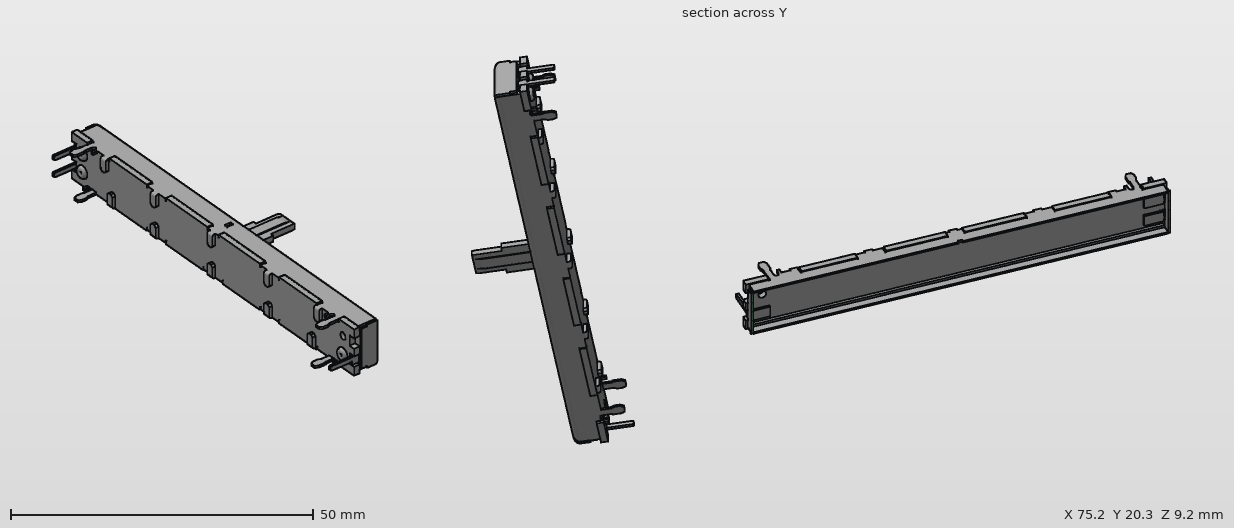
import cadquery as cq

SIDES = (1, -1)
EPS = 0.01

board_length = 75.2
board_height = 9.2
board_thickness = 1.2
board_end = board_length / 2
board_top = board_height / 2
notch_floor_x = 36.4
notch_width = 2.05

sheet = 0.45
case_top_y = 5.7
case_bend = 1.15
side_wall_z = 4.4
side_wall_end_x = 37.0
end_wall_x = 37.45
end_wall_z = 4.3
end_wall_bottom_y = 1.8
end_wall_step_y = 2.9
inner_z = side_wall_z - sheet
ledge_width = 0.45

upper_board_tabs = ((1.5, 12.5), (17.6, 27.6))
lower_board_tabs = ((2.6, 12.5), (17.6, 27.6))
end_tab_x = 33.5
tab_clearance = 0.2
tab_fit = 0.05

tongue_width = 1.4
tongue_thickness = 0.65
tongue_tip_z = 1.7
tongue_tip_chamfer = 0.4
tongue_bend = 0.45
upper_tongues_x = (-28.4, -15.1, 0, 15.1, 28.4)
lower_tongues_x = (-26.65, -15.1, 0, 15.1, 26.65)

leg_centre_x = -32.15
prong_outer_x = -(end_tab_x - tab_clearance)
prong_inner_x = -32.15
prong_tip_y = -3.85
prong_tip_inset = 0.3
bulge_outer_x = -33.55
bulge_inner_x = -32.0
bulge_low_y = -3.2
bulge_middle_y = -2.3
bulge_high_y = -1.7
stub_outer_x = -31.25
stub_inner_x = -30.75
stub_tip_y = -0.9
slit_top_y = 0.45

terminal_z = 1.79
rivet_x = 34.65
rivet_radius = 1.24
rivet_hole_radius = 0.68
terminal_width = 1.95
terminal_outer_x = 37.05
terminal_inner_x = 33.4
terminal_bend = 0.4
terminal_shoulder_y = 0.1
pin_width = 0.9
pin_z = 1.68
pin_tip_y = -4.5
pin_tip_radius = 0.3
terminal_ends = ((-1, 1), (-1, -1), (1, -1))

lever_length = 10.05
lever_base_length = 5.0
lever_base_width = 5.3
lever_width = 4.0
lever_half_thickness = 0.6
rib_width = 2.05
rib_half_thickness = 0.8
ramp_length = 1.3
tip_half_thickness = 0.475

window_width = 0.75
window_low_y = 2.8
window_high_y = 4.05


def block(x_limits, y_limits, z_limits):
    """Box spanning three pairs of limits, given in any order."""
    low = [min(pair) for pair in (x_limits, y_limits, z_limits)]
    size = [abs(b - a) for a, b in (x_limits, y_limits, z_limits)]
    return cq.Workplane("XY").box(*size, centered=False).translate(tuple(low))


def centred_block(half_x, y_limits, half_z):
    return block((-half_x, half_x), y_limits, (-half_z, half_z))


def make_case():
    wall_box = centred_block(side_wall_end_x, (0, case_top_y), side_wall_z)
    wall_box = wall_box.faces(">Y").edges().fillet(case_bend)
    end_box = centred_block(end_wall_x, (end_wall_bottom_y, case_top_y), end_wall_z)
    end_box = end_box.faces(">Y").edges().fillet(case_bend)
    for side_x in SIDES:
        for side_z in SIDES:
            end_box = end_box.cut(block(
                (side_x * side_wall_end_x, side_x * board_end),
                (0, end_wall_step_y),
                (side_z * inner_z, side_z * board_top),
            ))
    case = wall_box.union(end_box)

    cavity_end_x = end_wall_x - sheet
    cavity = centred_block(cavity_end_x, (-EPS, case_top_y - sheet), inner_z)
    cavity = cavity.faces(">Y").edges().fillet(case_bend - sheet)
    case = case.cut(cavity)
    case = case.cut(centred_block(board_end, (-EPS, end_wall_bottom_y), inner_z))

    for side_x in SIDES:
        for side_z, tabs in ((1, upper_board_tabs), (-1, lower_board_tabs)):
            end_opening = ((end_tab_x - tab_clearance, board_end),)
            for inner_x, outer_x in end_opening + tabs:
                opening_x = outer_x + tab_clearance
                case = case.cut(block(
                    (side_x * (inner_x - tab_fit), side_x * opening_x),
                    (-EPS, board_thickness),
                    (side_z * inner_z, side_z * board_top),
                ))
    return case


def cut_window(body):
    window = block(
        (-window_width / 2, window_width / 2),
        (window_low_y, window_high_y),
        (inner_z - EPS, board_top),
    )
    return body.cut(window)


def make_board():
    thickness = (0, board_thickness)
    board = centred_block(board_end, thickness, inner_z + EPS)
    for side_x in SIDES:
        for side_z, tabs in ((1, upper_board_tabs), (-1, lower_board_tabs)):
            for inner_x, outer_x in tabs + ((end_tab_x, board_end),):
                board = board.union(block(
                    (side_x * inner_x, side_x * outer_x),
                    thickness,
                    (side_z * (inner_z - EPS), side_z * board_top),
                ))
            notch_z = side_z * terminal_z
            board = board.cut(block(
                (side_x * notch_floor_x, side_x * board_end),
                thickness,
                (notch_z - notch_width / 2, notch_z + notch_width / 2),
            ))
    hole = cq.Workplane("XZ", origin=(rivet_x, 0, terminal_z)).circle(rivet_hole_radius)
    return board.cut(hole.extrude(-board_thickness))


def make_ledge(side_z):
    return block(
        (-side_wall_end_x, side_wall_end_x),
        (board_thickness - EPS, end_wall_bottom_y),
        (side_z * (inner_z - ledge_width), side_z * (inner_z + EPS)),
    )


def make_tongue(centre_x, side_z):
    half_width = tongue_width / 2
    tongue = block(
        (centre_x - half_width, centre_x + half_width),
        (-tongue_thickness, EPS),
        (side_z * tongue_tip_z, side_z * side_wall_z),
    )
    tip, root = ("<Z", ">Z") if side_z > 0 else (">Z", "<Z")
    tongue = tongue.faces(tip).edges("|Y").chamfer(tongue_tip_chamfer)
    return tongue.faces(root).edges("<Y").fillet(tongue_bend)


def leg_prong():
    return (
        cq.Workplane("XY", origin=(0, 0, inner_z))
        .moveTo(prong_outer_x, EPS)
        .lineTo(prong_outer_x, bulge_high_y)
        .lineTo(bulge_outer_x, bulge_middle_y)
        .lineTo(bulge_outer_x, bulge_low_y)
        .lineTo(bulge_outer_x + prong_tip_inset, prong_tip_y)
        .lineTo(bulge_inner_x - prong_tip_inset, prong_tip_y)
        .lineTo(bulge_inner_x, bulge_low_y)
        .lineTo(bulge_inner_x, bulge_high_y)
        .lineTo(prong_inner_x, bulge_high_y)
        .lineTo(prong_inner_x, EPS)
        .close()
        .extrude(sheet)
    )


def leg_stub():
    return block((stub_outer_x, stub_inner_x), (stub_tip_y, EPS), (inner_z, side_wall_z))


def leg_slit():
    """Round-topped slit that continues the gap between prong and stub into the wall."""
    radius = (stub_outer_x - prong_inner_x) / 2
    return (
        cq.Workplane("XY", origin=(0, 0, inner_z + EPS))
        .moveTo(prong_inner_x, -2 * EPS)
        .lineTo(prong_inner_x, slit_top_y - radius)
        .threePointArc(
            (prong_inner_x + radius, slit_top_y),
            (stub_outer_x, slit_top_y - radius),
        )
        .lineTo(stub_outer_x, -2 * EPS)
        .close()
        .extrude(sheet)
    )


def at_all_legs(shape):
    """Copies of an upper left leg feature at the four legs.

    The lower leg is the upper one turned half a turn about the leg centre.
    """
    axis_start = (leg_centre_x, 0, 0)
    axis_end = (leg_centre_x, 1, 0)
    left_pair = [shape, shape.rotate(axis_start, axis_end, 180)]
    return left_pair + [left.mirror("YZ") for left in left_pair]


def make_terminal(side_x, side_z):
    """Plate behind the board, bent through the notch and narrowed to a pin."""
    middle_z = side_z * terminal_z
    plate_z = (middle_z - terminal_width / 2, middle_z + terminal_width / 2)
    back_y = board_thickness + sheet
    plate = block(
        (side_x * terminal_inner_x, side_x * terminal_outer_x),
        (board_thickness - EPS, back_y),
        plate_z,
    )
    strip_x = (side_x * (terminal_outer_x - sheet), side_x * terminal_outer_x)
    strip = block(strip_x, (terminal_shoulder_y, back_y), plate_z)
    bent = plate.union(strip)
    outside = ">X" if side_x > 0 else "<X"
    bent = bent.faces(outside).edges(">Y").fillet(terminal_bend)

    pin_middle_z = side_z * pin_z
    pin = block(
        strip_x,
        (pin_tip_y, board_thickness),
        (pin_middle_z - pin_width / 2, pin_middle_z + pin_width / 2),
    )
    pin = pin.faces("<Y").edges("|X").fillet(pin_tip_radius)
    return bent.union(pin)


def make_rivet(side_x, side_z):
    """Rolled rivet head, a half ring whose hole closes to a point."""
    ring_radius = rivet_radius / 2
    head = (
        cq.Workplane("XY")
        .moveTo(0, EPS)
        .lineTo(0, 0)
        .threePointArc((ring_radius, -ring_radius), (rivet_radius, 0))
        .lineTo(rivet_radius, EPS)
        .close()
        .revolve(360, (0, 0, 0), (0, 1, 0))
    )
    return head.translate((side_x * rivet_x, 0, side_z * terminal_z))


def make_lever():
    root_y = case_top_y - EPS
    tip_y = case_top_y + lever_length
    base_y = (root_y, case_top_y + lever_base_length)
    base = centred_block(lever_base_width / 2, base_y, lever_half_thickness)
    blade = centred_block(lever_width / 2, (root_y, tip_y), lever_half_thickness)
    rib = centred_block(rib_width / 2, (root_y, tip_y), rib_half_thickness)

    ramp_y = tip_y - ramp_length
    tapered_envelope = (
        cq.Workplane("YZ", origin=(-lever_base_width / 2, 0, 0))
        .moveTo(root_y, -rib_half_thickness)
        .lineTo(ramp_y, -rib_half_thickness)
        .lineTo(tip_y, -tip_half_thickness)
        .lineTo(tip_y, tip_half_thickness)
        .lineTo(ramp_y, rib_half_thickness)
        .lineTo(root_y, rib_half_thickness)
        .close()
        .extrude(lever_base_width)
    )
    return base.union(blade).union(rib).intersect(tapered_envelope)


body = cut_window(make_case()).union(make_board())
for ledge_side in SIDES:
    body = body.union(make_ledge(ledge_side))
for slit in at_all_legs(leg_slit()):
    body = body.cut(slit)
for leg_part in at_all_legs(leg_prong()) + at_all_legs(leg_stub()):
    body = body.union(leg_part)
for tongue_x in upper_tongues_x:
    body = body.union(make_tongue(tongue_x, 1))
for tongue_x in lower_tongues_x:
    body = body.union(make_tongue(tongue_x, -1))
for end_x, end_z in terminal_ends:
    body = body.union(make_terminal(end_x, end_z))
    body = body.union(make_rivet(end_x, end_z))

result = body.union(make_lever())